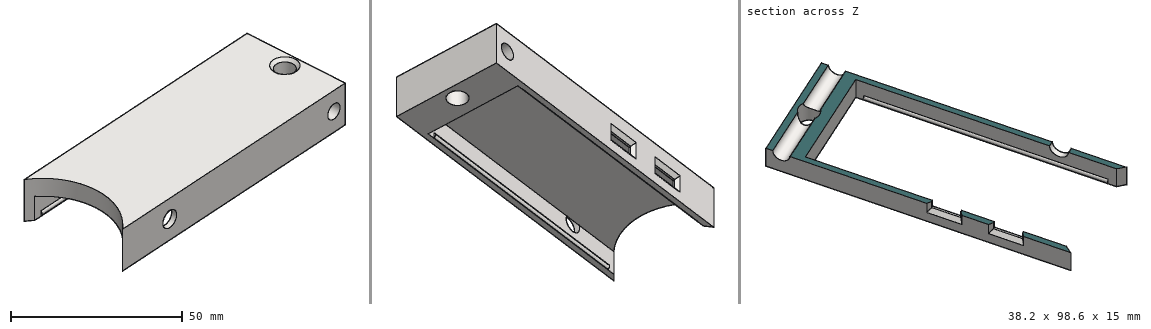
import cadquery as cq
import math

width = 38.2
length = 98.6
height = 15.0

saddle_depth = 9.9
saddle_radius = ((width / 2) ** 2 + saddle_depth ** 2) / (2 * saddle_depth)

wall = 2.0
pocket_height = 8.6
end_block = 12.0
pocket_end = length - end_block
pocket_half_width = width / 2 - wall

end_hole_y = length - 5.0
mount_diameter = 6.7
countersink_diameter = 8.9
cross_diameter = 5.4

window_length = 9.4
window_height = 3.5
flare_length = 11.3
flare_height = 6.1
flare_depth = 1.3
window_z = 6.8
first_window_y = 21.0
window_pitch = 19.9

port_diameter = 6.0

bead_radius = 1.0
bead_projection = 0.6
bead_z = 1.1
bead_gap = 2.7


def saddle_y(x):
    """Y of the saddle surface at a given X."""
    return saddle_depth - saddle_radius + math.sqrt(saddle_radius ** 2 - x ** 2)


def make_body():
    return (
        cq.Workplane("XY")
        .moveTo(-width / 2, 0)
        .threePointArc((0, saddle_depth), (width / 2, 0))
        .lineTo(width / 2, length)
        .lineTo(-width / 2, length)
        .close()
        .extrude(height)
    )


def make_pocket():
    return cq.Workplane("XY").box(
        2 * pocket_half_width, pocket_end, pocket_height, centered=(True, False, False)
    )


def make_bead(side):
    """Rounded ridge on one pocket wall; side is -1 or +1."""
    start = saddle_y(pocket_half_width) + bead_gap
    center_x = side * (pocket_half_width + bead_radius - bead_projection)
    return (
        cq.Workplane("XZ", origin=(center_x, start, bead_z))
        .circle(bead_radius)
        .extrude(-(pocket_end - bead_gap - start))
    )


def make_window(y):
    """Opening through the -X wall, flared towards the outside."""
    outside = cq.Workplane("YZ", origin=(-width / 2, y, window_z))
    opening = outside.rect(window_length, window_height).extrude(wall)
    flare = (
        outside.rect(flare_length, flare_height)
        .workplane(offset=flare_depth)
        .rect(window_length, window_height)
        .loft()
    )
    return opening.union(flare)


def make_mount_hole():
    """Vertical hole with a 45 degree countersink in the top face."""
    sink_depth = (countersink_diameter - mount_diameter) / 2
    top = cq.Workplane("XY", origin=(0, end_hole_y, height))
    bore = top.circle(mount_diameter / 2).extrude(-height)
    sink = (
        top.circle(countersink_diameter / 2)
        .workplane(offset=-sink_depth)
        .circle(mount_diameter / 2)
        .loft()
    )
    return bore.union(sink)


def make_cross_hole():
    return (
        cq.Workplane("YZ", origin=(-width / 2, end_hole_y, height / 2))
        .circle(cross_diameter / 2)
        .extrude(width)
    )


def make_port():
    return (
        cq.Workplane("YZ", origin=(pocket_half_width, first_window_y, height / 2))
        .circle(port_diameter / 2)
        .extrude(wall)
    )


result = make_body().cut(make_pocket())
for side in (-1, 1):
    result = result.union(make_bead(side))
for index in range(2):
    result = result.cut(make_window(first_window_y + index * window_pitch))
result = result.cut(make_mount_hole()).cut(make_cross_hole()).cut(make_port())